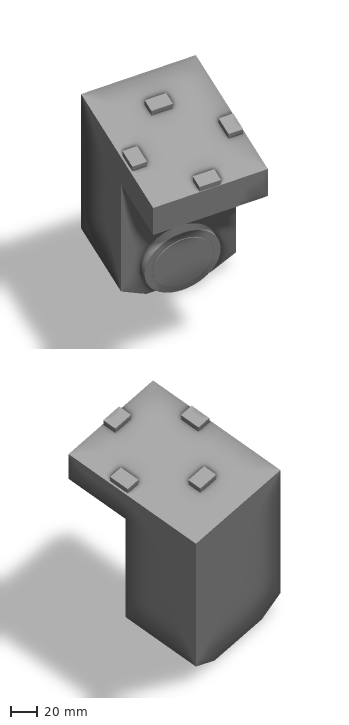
import cadquery as cq

length = 130.0
width = 96.0
height = 167.5

pad_height = 5.2
top_z = height - pad_height
body_length = 72.0
plate_thickness = 30.2
bottom_flat_width = 53.6
bevel_height = 12.4

boss_diameter = 63.6
boss_length = 7.7
face_diameter = 50.0
face_height = 0.7

pad_long = 18.0
pad_short = 12.2
pad_center_x = 80.0
pad_offset_x = 43.4
pad_offset_y = 40.2


def make_body():
    """Upright block with both lower long edges bevelled."""
    profile = [
        (-bottom_flat_width / 2, 0),
        (bottom_flat_width / 2, 0),
        (width / 2, bevel_height),
        (width / 2, top_z),
        (-width / 2, top_z),
        (-width / 2, bevel_height),
    ]
    return cq.Workplane("YZ").polyline(profile).close().extrude(body_length)


def make_plate():
    """Top plate reaching past the body, flush with its sides."""
    return (
        cq.Workplane("XY", origin=(body_length, 0, top_z - plate_thickness))
        .box(length - body_length, width, plate_thickness, centered=(False, True, False))
    )


def make_boss():
    """Stepped disc on the body face below the plate, level with the bottom."""
    return (
        cq.Workplane("YZ", origin=(body_length, 0, boss_diameter / 2))
        .circle(boss_diameter / 2)
        .extrude(boss_length)
        .faces(">X")
        .workplane()
        .circle(face_diameter / 2)
        .extrude(face_height)
    )


def make_pads(offsets, size_x, size_y):
    """Rectangular pads placed about the centre of the pad pattern."""
    return (
        cq.Workplane("XY", origin=(pad_center_x, 0, top_z))
        .pushPoints(offsets)
        .rect(size_x, size_y)
        .extrude(pad_height)
    )


end_pads = make_pads([(-pad_offset_x, 0), (pad_offset_x, 0)], pad_short, pad_long)
side_pads = make_pads([(0, -pad_offset_y), (0, pad_offset_y)], pad_long, pad_short)

result = make_body().union(make_plate()).union(make_boss()).union(end_pads).union(side_pads)